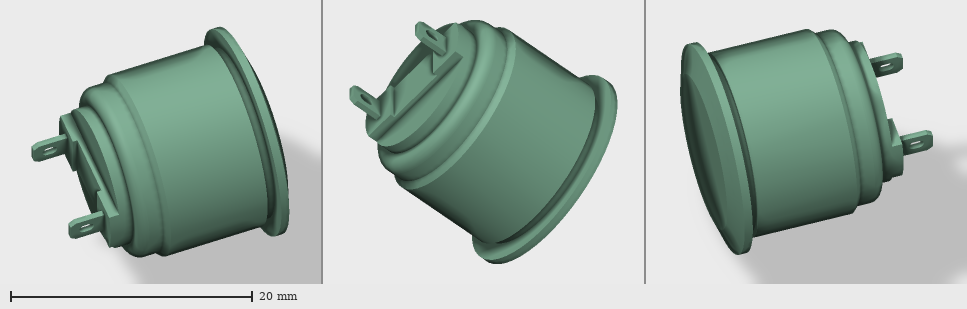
import cadquery as cq

total_length = 18.5

flange_radius = 18.0 / 2
front_flat_radius = 6.66
body_radius = 15.8 / 2
neck_radius = 14.8 / 2
boss_radius = 12.0 / 2
bevel_depth = 0.8
flange_back = 1.5
body_start = 2.3
body_end = 10.88
collar_start = body_end + body_radius - neck_radius
collar_end = 13.5
collar_fillet = 0.9
boss_end = 14.62

bar_end = 15.5
bar_width = 4.2
notch_length = 5.51
notch_depth = 0.4

tab_spacing = 8.5
tab_thickness = 0.5
tab_width = 2.1
tab_tip_length = 0.48
tab_tip_inset = 0.33
eyelet_length = 1.3
eyelet_width = 0.89
eyelet_offset = 1.57

front_y = total_length / 2
tab_tip_y = front_y - total_length


def make_turned_body():
    """Bevelled flange, neck, main barrel, rounded collar and rear boss."""
    profile = [
        (0, 0),
        (front_flat_radius, 0),
        (flange_radius, bevel_depth),
        (flange_radius, flange_back),
        (neck_radius, flange_back),
        (neck_radius, body_start),
        (body_radius, body_start),
        (body_radius, body_end),
        (neck_radius, collar_start),
        (neck_radius, collar_end - collar_fillet),
    ]
    outline = cq.Workplane("XY").polyline([(r, front_y - depth) for r, depth in profile])
    outline = (
        outline.radiusArc((neck_radius - collar_fillet, front_y - collar_end), collar_fillet)
        .lineTo(boss_radius, front_y - collar_end)
        .lineTo(boss_radius, front_y - boss_end)
        .lineTo(0, front_y - boss_end)
        .close()
    )
    return outline.revolve(360, (0, 0, 0), (0, 1, 0))


def make_terminal_bar():
    """Bar with ends following the boss and a shallow notch in the middle."""
    bar_height = bar_end - boss_end
    disc = cq.Workplane("XZ", origin=(0, front_y - boss_end, 0)).circle(boss_radius).extrude(bar_height)
    bar_limits = (
        cq.Workplane("XZ", origin=(0, front_y - boss_end, 0))
        .rect(2 * boss_radius, bar_width)
        .extrude(bar_height)
    )
    notch = (
        cq.Workplane("XZ", origin=(0, front_y - bar_end + notch_depth, 0))
        .rect(notch_length, bar_width)
        .extrude(notch_depth)
    )
    return disc.intersect(bar_limits).cut(notch)


def make_tab(center_x):
    """Flat solder tab with a tapered tip and an oblong eyelet."""
    root_y = front_y - boss_end
    half_width = tab_width / 2
    tip_half_width = half_width - tab_tip_inset
    shoulder_y = tab_tip_y + tab_tip_length
    plane = cq.Workplane("YZ", origin=(center_x - tab_thickness / 2, 0, 0))
    blade = plane.polyline([
        (root_y, -half_width),
        (shoulder_y, -half_width),
        (tab_tip_y, -tip_half_width),
        (tab_tip_y, tip_half_width),
        (shoulder_y, half_width),
        (root_y, half_width),
    ]).close().extrude(tab_thickness)
    eyelet = (
        plane.center(front_y - bar_end - eyelet_offset, 0)
        .slot2D(eyelet_length, eyelet_width)
        .extrude(tab_thickness)
    )
    return blade.cut(eyelet)


result = make_turned_body().union(make_terminal_bar())
for side in (-1, 1):
    result = result.union(make_tab(side * tab_spacing / 2))